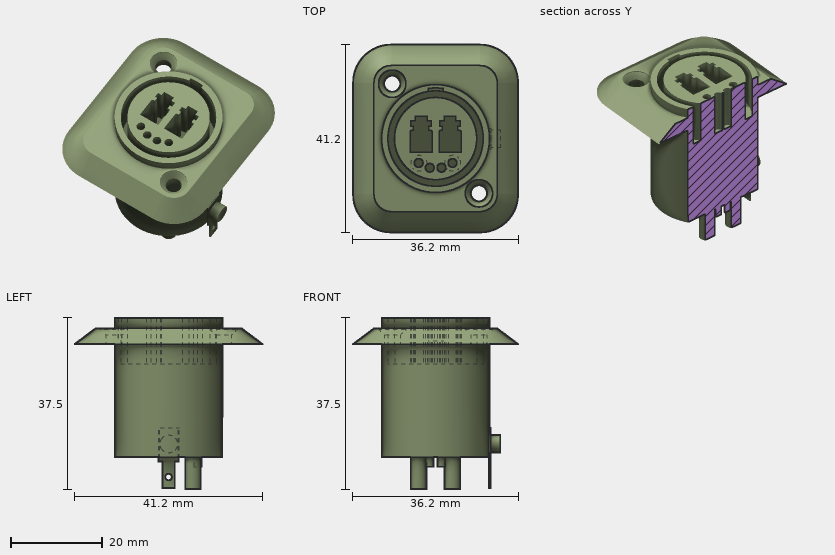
import cadquery as cq
import math

PLATE_X = 36.2
PLATE_Y = 41.2
PLATE_THICKNESS = 3.45
PLATE_CORNER_RADIUS = 8.4
PLATE_SIDE_INSET = 4.6

MOUNT_OFFSET_X = 9.5
MOUNT_OFFSET_Y = 12.0
MOUNT_DIAMETER = 3.5
COUNTERSINK_DIAMETER = 6.0
COUNTERSINK_ANGLE = 90
COUNTERSINK_RIM_DEPTH = 0.15

BARREL_RADIUS = 11.82
BARREL_TOP = PLATE_THICKNESS + 2.3
BARREL_BOTTOM = -24.75
BARREL_LENGTH = BARREL_TOP - BARREL_BOTTOM

GROOVE_OUTER_RADIUS = 10.45
GROOVE_INNER_RADIUS = 9.01
GROOVE_DEPTH = 10.0

KEYWAY_WIDTH = 3.3
KEYWAY_OUTER_RADIUS = 11.1
KEYWAY_DEPTH = GROOVE_DEPTH / 2

SOCKET_OFFSET_X = 3.17
SOCKET_DEPTH = 10.0
SOCKET_BOTTOM_Y = -2.95
SOCKET_NECK_Y = 1.8
SOCKET_SHOULDER_Y = 2.7
SOCKET_LATCH_Y = 3.85
SOCKET_TOP_Y = 4.85
SOCKET_BODY_HALF = 2.4
SOCKET_NECK_HALF = 1.7
SOCKET_SHOULDER_HALF = 2.25
SOCKET_LATCH_HALF = 1.3
SOCKET_BODY_CHAMFER = 0.25

OUTER_CONTACT_X = 3.7
OUTER_CONTACT_Y = -5.35
INNER_CONTACT_X = 1.28
INNER_CONTACT_Y = -6.4
CONTACT_DIAMETER = 1.9
CONTACT_DEPTH = 10.0

LARGE_PIN_DIAMETER = 3.5
LARGE_PIN_LENGTH = 7.0
SMALL_PIN_DIAMETER = 1.75
SMALL_PIN_LENGTH = 2.15

TAB_INNER_X = 11.65
TAB_THICKNESS = 0.4
TAB_TOP = BARREL_BOTTOM + 6.45
TAB_SHOULDER = BARREL_BOTTOM - 1.0
TAB_BOTTOM = BARREL_BOTTOM - 6.8
TAB_WIDTH = 4.5
TAB_TAIL_WIDTH = 2.75
TAB_HOLE_DIAMETER = 1.4
TAB_HOLE_Z = BARREL_BOTTOM - 4.35

BUTTON_DIAMETER = 3.88
BUTTON_Z = BARREL_BOTTOM + 2.95
BUTTON_OUTER_X = 14.2


def mirrored_x(x, y):
    """The pair of points at -x and +x."""
    return [(-x, y), (x, y)]


def make_plate():
    taper = math.degrees(math.atan(PLATE_SIDE_INSET / PLATE_THICKNESS))
    outline = cq.Sketch().rect(PLATE_X, PLATE_Y).vertices().fillet(PLATE_CORNER_RADIUS)
    plate = cq.Workplane("XY").placeSketch(outline).extrude(PLATE_THICKNESS, taper=taper)
    centers = [(-MOUNT_OFFSET_X, MOUNT_OFFSET_Y), (MOUNT_OFFSET_X, -MOUNT_OFFSET_Y)]
    rims = (
        cq.Workplane("XY", origin=(0, 0, PLATE_THICKNESS))
        .pushPoints(centers)
        .circle(COUNTERSINK_DIAMETER / 2)
        .extrude(-COUNTERSINK_RIM_DEPTH)
    )
    cone_plane = plate.cut(rims).copyWorkplane(
        cq.Workplane("XY", origin=(0, 0, PLATE_THICKNESS - COUNTERSINK_RIM_DEPTH))
    )
    return cone_plane.pushPoints(centers).cskHole(MOUNT_DIAMETER, COUNTERSINK_DIAMETER, COUNTERSINK_ANGLE)


def make_barrel():
    return cq.Workplane("XY", origin=(0, 0, BARREL_BOTTOM)).circle(BARREL_RADIUS).extrude(BARREL_LENGTH)


def rim_plane():
    """Plane of the barrel's top face."""
    return cq.Workplane("XY", origin=(0, 0, BARREL_TOP))


def make_groove():
    return rim_plane().circle(GROOVE_OUTER_RADIUS).circle(GROOVE_INNER_RADIUS).extrude(-GROOVE_DEPTH)


def make_keyway():
    slot_length = KEYWAY_OUTER_RADIUS - GROOVE_INNER_RADIUS
    slot_center_y = GROOVE_INNER_RADIUS + slot_length / 2
    slot = rim_plane().center(0, slot_center_y).rect(KEYWAY_WIDTH, slot_length).extrude(-KEYWAY_DEPTH)
    band = rim_plane().circle(KEYWAY_OUTER_RADIUS).circle(GROOVE_INNER_RADIUS).extrude(-KEYWAY_DEPTH)
    return slot.intersect(band)


def make_socket(center_x):
    right_side = [
        (SOCKET_BODY_HALF, SOCKET_BOTTOM_Y),
        (SOCKET_BODY_HALF, SOCKET_NECK_Y - SOCKET_BODY_CHAMFER),
        (SOCKET_BODY_HALF - SOCKET_BODY_CHAMFER, SOCKET_NECK_Y),
        (SOCKET_NECK_HALF, SOCKET_NECK_Y),
        (SOCKET_NECK_HALF, SOCKET_SHOULDER_Y),
        (SOCKET_SHOULDER_HALF, SOCKET_SHOULDER_Y),
        (SOCKET_SHOULDER_HALF, SOCKET_LATCH_Y),
        (SOCKET_LATCH_HALF, SOCKET_LATCH_Y),
        (SOCKET_LATCH_HALF, SOCKET_TOP_Y),
    ]
    left_side = [(-x, y) for x, y in reversed(right_side)]
    return rim_plane().center(center_x, 0).polyline(right_side + left_side).close().extrude(-SOCKET_DEPTH)


def make_contact_holes():
    centers = mirrored_x(OUTER_CONTACT_X, OUTER_CONTACT_Y) + mirrored_x(INNER_CONTACT_X, INNER_CONTACT_Y)
    return rim_plane().pushPoints(centers).circle(CONTACT_DIAMETER / 2).extrude(-CONTACT_DEPTH)


def make_pins(centers, diameter, length):
    """Round pins hanging from the barrel's bottom face."""
    return (
        cq.Workplane("XY", origin=(0, 0, BARREL_BOTTOM))
        .pushPoints(centers)
        .circle(diameter / 2)
        .extrude(-length)
    )


def make_tab():
    side_plane = cq.Workplane("YZ", origin=(TAB_INNER_X, 0, 0))
    right_side = [
        (TAB_TAIL_WIDTH / 2, TAB_BOTTOM),
        (TAB_TAIL_WIDTH / 2, TAB_SHOULDER),
        (TAB_WIDTH / 2, TAB_SHOULDER),
        (TAB_WIDTH / 2, TAB_TOP),
    ]
    left_side = [(-y, z) for y, z in reversed(right_side)]
    blade = side_plane.polyline(right_side + left_side).close().extrude(TAB_THICKNESS)
    hole = side_plane.center(0, TAB_HOLE_Z).circle(TAB_HOLE_DIAMETER / 2).extrude(TAB_THICKNESS)
    button = side_plane.center(0, BUTTON_Z).circle(BUTTON_DIAMETER / 2).extrude(BUTTON_OUTER_X - TAB_INNER_X)
    return blade.cut(hole).union(button)


body = make_plate().union(make_barrel())
body = body.cut(make_groove()).cut(make_keyway()).cut(make_contact_holes())
for socket_x in (-SOCKET_OFFSET_X, SOCKET_OFFSET_X):
    body = body.cut(make_socket(socket_x))

large_pins = make_pins(mirrored_x(OUTER_CONTACT_X, OUTER_CONTACT_Y), LARGE_PIN_DIAMETER, LARGE_PIN_LENGTH)
small_pins = make_pins(mirrored_x(INNER_CONTACT_X, INNER_CONTACT_Y), SMALL_PIN_DIAMETER, SMALL_PIN_LENGTH)

result = body.union(large_pins).union(small_pins).union(make_tab())